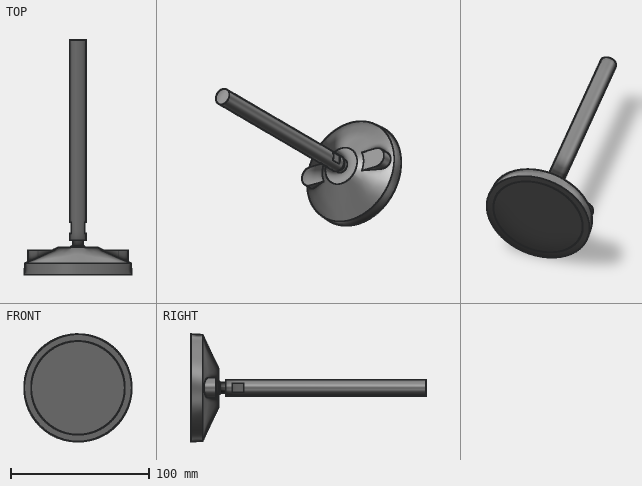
import cadquery as cq
import math

total_length = 170.0

base_diameter = 78.0
rim_top_diameter = 77.0
rim_height = 8.4
cone_top_diameter = 28.0
plate_height = 20.0

groove_outer_diameter = 68.0
pad_diameter = 67.5
groove_depth = 2.0

lug_width = 14.5
lug_center_offset = 29.0
lug_top = 18.0

spindle_diameter = 12.0
spindle_start = 25.0
neck_diameter = 7.8

ball_diameter = 13.5
ball_opening_diameter = 10.5

flats_across = 10.0
flats_start = 30.0
flats_length = 8.0


def cylinder(diameter, start, end):
    """Cylinder on the Y axis between two heights."""
    profile = cq.Workplane("XZ", origin=(0, start, 0)).circle(diameter / 2)
    return profile.extrude(start - end)


def make_plate():
    """Tapered rim with a cone above it."""
    return (
        cq.Workplane("XY")
        .moveTo(0, 0)
        .lineTo(base_diameter / 2, 0)
        .lineTo(rim_top_diameter / 2, rim_height)
        .lineTo(cone_top_diameter / 2, plate_height)
        .lineTo(0, plate_height)
        .close()
        .revolve(360, (0, 0, 0), (0, 1, 0))
    )


def make_ball():
    """Ball whose cap rises from the cone top with the diameter of the opening."""
    opening_to_center = math.sqrt(ball_diameter**2 - ball_opening_diameter**2) / 2
    ball = cq.Workplane("XY").sphere(ball_diameter / 2)
    return ball.translate((0, plate_height - opening_to_center, 0))


def make_lugs():
    """Round-ended bar whose two ends stand out of the cone as lugs."""
    bar_length = 2 * lug_center_offset + lug_width
    profile = cq.Workplane("XZ", origin=(0, rim_height, 0)).slot2D(bar_length, lug_width)
    return profile.extrude(rim_height - lug_top)


def make_pad_groove():
    """Ring that separates the pad from the rim in the floor face."""
    outer = cylinder(groove_outer_diameter, 0, groove_depth)
    return outer.cut(cylinder(pad_diameter, 0, groove_depth))


def make_spindle():
    """Neck and plain rod with two opposite wrench flats."""
    neck = cylinder(neck_diameter, plate_height, spindle_start)
    rod = cylinder(spindle_diameter, spindle_start, total_length)
    flats_middle = flats_start + flats_length / 2
    for side in (-1, 1):
        cutter_center = side * (flats_across + spindle_diameter) / 2
        cutter = (
            cq.Workplane("XY")
            .box(spindle_diameter, flats_length, spindle_diameter)
            .translate((cutter_center, flats_middle, 0))
        )
        rod = rod.cut(cutter)
    return rod.union(neck)


foot = make_plate().union(make_lugs()).cut(make_pad_groove())
result = foot.union(make_ball()).union(make_spindle())